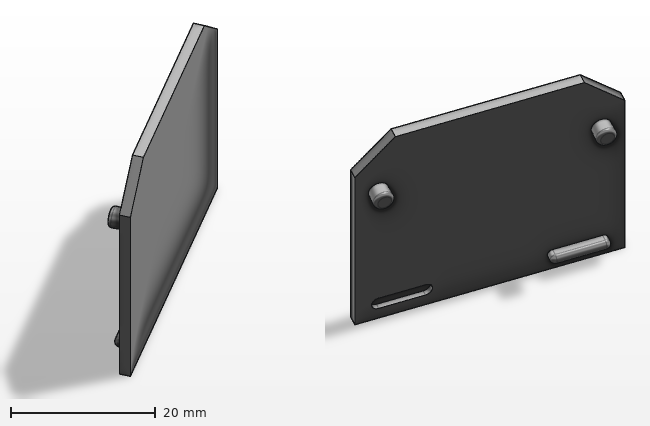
import cadquery as cq
import math

plate_thickness = 1.6
plate_width = 40.0
plate_height = 36.0
corner_cut = 6.0

pin_base_diameter = 3.0
pin_tip_diameter = 3.1
pin_length = 2.4
pin_spacing = 33.0
pin_height = 26.0
pin_edge_round = 0.5

slot_length = 9.0
slot_width = 2.1
slot_depth = 0.85
rail_length = 9.0
rail_width = 1.6
rail_projection = 1.7
rail_crown_height = 0.7
rail_offset = 13.0
rail_height = 3.0


def face_sketch(y, z):
    """Workplane on the -X face, local x along +Y, normal along +X."""
    return cq.Workplane(cq.Plane((0, y, z), xDir=(0, 1, 0), normal=(1, 0, 0)))


def make_plate():
    plate = face_sketch(0, plate_height / 2).rect(plate_width, plate_height).extrude(plate_thickness)
    return plate.edges("|X and >Z").chamfer(corner_cut)


def make_pin(y):
    """Pin that widens slightly from the plate to its rounded end."""
    base = face_sketch(y, pin_height).circle(pin_base_diameter / 2)
    pin = base.workplane(offset=-pin_length).circle(pin_tip_diameter / 2).loft()
    return pin.faces("<X").edges().fillet(pin_edge_round)


def make_rail():
    """Bar with an arched crown, its ends turned from half of the same section."""
    half_width = rail_width / 2
    straight_length = rail_length - rail_width
    side_height = rail_projection - rail_crown_height

    section = cq.Workplane("XZ").moveTo(0, -half_width).lineTo(-side_height, -half_width)
    section = section.threePointArc((-rail_projection, 0), (-side_height, half_width))
    section = section.lineTo(0, half_width).close()
    rail = section.extrude(straight_length / 2, both=True)

    arc_radius = (half_width**2 + rail_crown_height**2) / (2 * rail_crown_height)
    mid_drop = arc_radius - math.sqrt(arc_radius**2 - (half_width / 2) ** 2)
    half_section = cq.Workplane("XZ").lineTo(-rail_projection, 0)
    half_section = half_section.threePointArc(
        (-rail_projection + mid_drop, half_width / 2), (-side_height, half_width)
    )
    half_section = half_section.lineTo(0, half_width).close()
    rail_end = half_section.revolve(360, (0, 0), (1, 0))
    for side in (-1, 1):
        rail = rail.union(rail_end.translate((0, side * straight_length / 2, 0)))
    return rail.translate((0, -rail_offset, rail_height))


def make_slot():
    return face_sketch(rail_offset, rail_height).slot2D(slot_length, slot_width).extrude(slot_depth)


result = make_plate().cut(make_slot()).union(make_rail())
for side in (-1, 1):
    result = result.union(make_pin(side * pin_spacing / 2))